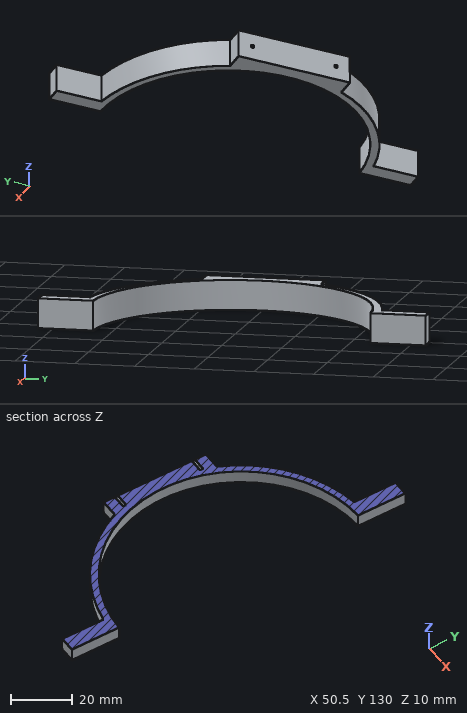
import cadquery as cq

height = 10.0
inner_radius = 46.5
band_thickness = 3.0
outer_radius = inner_radius + band_thickness
split_gap = 1.5
overall_length = 130.0
tab_thickness = 6.0
pad_width = 40.0
pad_face_distance = 52.0
pilot_diameter = 1.0
pilot_spacing = 30.0
pilot_depth = 5.0


def block(x_min, x_max, width):
    """Full-height block centred on Y."""
    return (
        cq.Workplane("XY", origin=(x_min, 0, 0))
        .box(x_max - x_min, width, height, centered=(False, True, False))
    )


def cylinder(radius):
    """Full-height cylinder on the ring axis."""
    return cq.Workplane("XY").circle(radius).extrude(height)


def clamp_body():
    """Half ring with a mounting pad and two end tabs, bored to the inner radius."""
    half_ring = cylinder(outer_radius).intersect(block(-outer_radius, -split_gap, 2 * outer_radius))
    pad_inner_end = -inner_radius / 2
    pad = block(-pad_face_distance, pad_inner_end, pad_width)
    tabs = block(-split_gap - tab_thickness, -split_gap, overall_length)
    return half_ring.union(pad).union(tabs).cut(cylinder(inner_radius))


def pilot_holes():
    """Two blind holes along X, sunk into the outer pad face."""
    return (
        cq.Workplane("YZ", origin=(-pad_face_distance, 0, height / 2))
        .rarray(pilot_spacing, 1, 2, 1)
        .circle(pilot_diameter / 2)
        .extrude(pilot_depth)
    )


result = clamp_body().cut(pilot_holes())